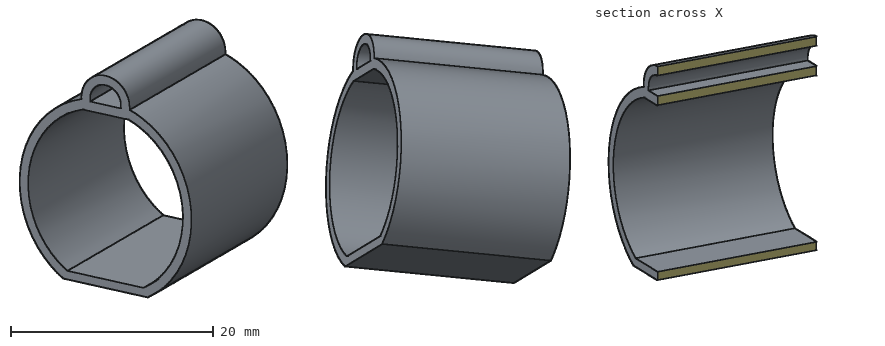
import cadquery as cq

length = 18.0
half_width = 10.0
half_height = 10.62
bottom_z = -9.25
top_z = 13.25
loop_radius = 2.8
loop_wall = 1.0
loop_floor_z = 10.15
bore_scale = 0.9

loop_center_z = top_z - loop_radius
bore_half_width = bore_scale * half_width
bore_half_height = bore_scale * half_height
bore_floor_z = bore_scale * bottom_z
bore_ceiling_z = bore_scale * loop_floor_z
loop_root_z = (bore_ceiling_z + loop_floor_z) / 2
slab_width = 2 * half_width + length


def extrude_along_y(profile):
    """Extrude an XZ profile over the part's length, centred on Y = 0."""
    return profile.extrude(length).translate((0, length / 2, 0))


def elliptic_bar(semi_x, semi_z, low_z, high_z):
    """Elliptic bar along Y, cut flat at low_z and high_z."""
    bar = extrude_along_y(cq.Workplane("XZ").ellipse(semi_x, semi_z))
    slab = (
        cq.Workplane("XY", origin=(0, 0, low_z))
        .rect(slab_width, slab_width)
        .extrude(high_z - low_z)
    )
    return bar.intersect(slab)


def arch_bar(radius, foot_z):
    """Bar along Y with a round top and straight sides down to foot_z."""
    return extrude_along_y(
        cq.Workplane("XZ")
        .moveTo(-radius, foot_z)
        .lineTo(-radius, loop_center_z)
        .threePointArc((0, loop_center_z + radius), (radius, loop_center_z))
        .lineTo(radius, foot_z)
        .close()
    )


outer_body = elliptic_bar(half_width, half_height, bottom_z, half_height)
outer_body = outer_body.union(arch_bar(loop_radius, loop_root_z))

bore = elliptic_bar(bore_half_width, bore_half_height, bore_floor_z, bore_ceiling_z)
loop_opening = arch_bar(loop_radius - loop_wall, loop_floor_z)

result = outer_body.cut(bore).cut(loop_opening)